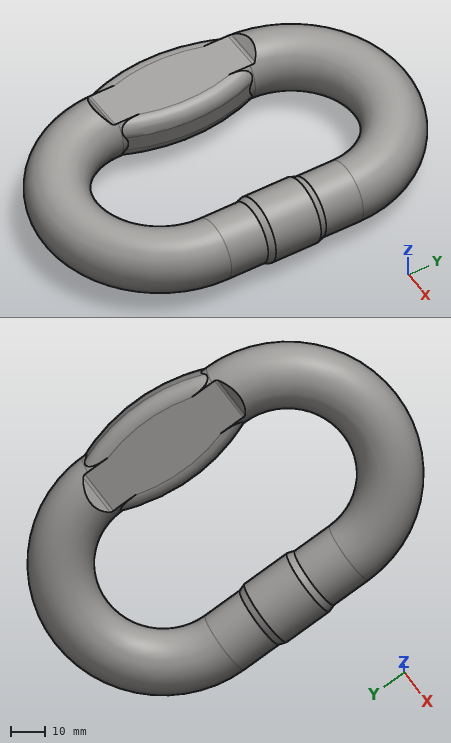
import cadquery as cq
import math

bar_diameter = 19.5
outer_length = 124.0
bend_radius = 29.7
bar_radius = bar_diameter / 2
straight_half = outer_length / 2 - bend_radius - bar_radius

collar_diameter = 21.0
collar_length = 19.8
collar_land_length = 15.4

overall_width = 83.5
flat_thickness = 13.8
grip_edge_height = 5.0
grip_arc_radius = 57.6
flat_half_length = 24.0
flat_corner_radius = 1.4
flat_half_thickness = flat_thickness / 2
grip_fillet = (flat_thickness - grip_edge_height) / 2
grip_half_width = overall_width - collar_diameter / 2 - 2 * bend_radius


def make_link():
    """Sweep the bar as two straight cylinders and two half tori."""
    section = cq.Workplane("XZ").moveTo(bend_radius, 0).circle(bar_radius)
    straight = section.extrude(straight_half, both=True)
    link = straight.union(straight.mirror("YZ"))
    bend_section = cq.Workplane("XZ").moveTo(bend_radius, 0).circle(bar_radius)
    bend = bend_section.revolve(180, (0, 0, 0), (0, 1, 0))
    upper_bend = bend.translate((0, straight_half, 0))
    return link.union(upper_bend).union(upper_bend.mirror("XZ"))


def make_collar():
    """Raised sleeve with conical ends, coaxial with the +X straight."""
    half_length = collar_length / 2
    half_land = collar_land_length / 2
    collar_radius = collar_diameter / 2
    return (
        cq.Workplane("XY")
        .moveTo(bend_radius, -half_length)
        .lineTo(bend_radius + bar_radius, -half_length)
        .lineTo(bend_radius + collar_radius, -half_land)
        .lineTo(bend_radius + collar_radius, half_land)
        .lineTo(bend_radius + bar_radius, half_length)
        .lineTo(bend_radius, half_length)
        .close()
        .revolve(360, (bend_radius, 0, 0), (bend_radius, 1, 0))
    )


def make_flat_cutter():
    """Trapezoidal block above the grip flat, with 45 degree end ramps."""
    rise = bar_radius
    top = flat_half_thickness + rise
    top_half_length = flat_half_length + rise
    return (
        cq.Workplane("YZ")
        .polyline([
            (-flat_half_length, flat_half_thickness),
            (flat_half_length, flat_half_thickness),
            (top_half_length, top),
            (-top_half_length, top),
        ])
        .close()
        .extrude(bar_radius, both=True)
        .edges("<Z")
        .edges("|X")
        .fillet(flat_corner_radius)
        .translate((-bend_radius, 0, 0))
    )


def make_grip():
    """Barrel-shaped plate with rounded long edges; its ends lie inside the bar."""
    arc_drop = grip_arc_radius - math.sqrt(grip_arc_radius**2 - straight_half**2)
    end_half_width = grip_half_width - arc_drop
    return (
        cq.Workplane("XY")
        .workplane(offset=-flat_half_thickness)
        .moveTo(end_half_width, -straight_half)
        .threePointArc((grip_half_width, 0), (end_half_width, straight_half))
        .lineTo(-end_half_width, straight_half)
        .threePointArc((-grip_half_width, 0), (-end_half_width, -straight_half))
        .close()
        .extrude(flat_thickness)
        .edges("%CIRCLE")
        .fillet(grip_fillet)
        .translate((-bend_radius, 0, 0))
    )


flat_cutter = make_flat_cutter()
result = (
    make_link()
    .union(make_collar())
    .cut(flat_cutter)
    .cut(flat_cutter.mirror("XY"))
    .union(make_grip())
)